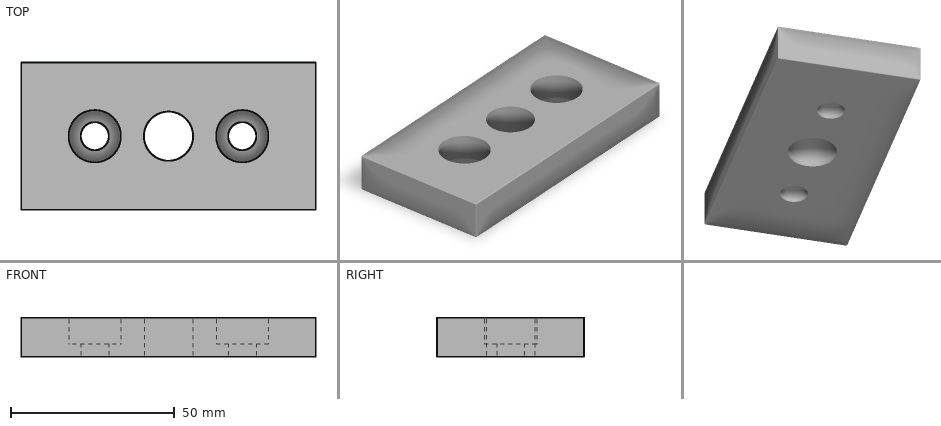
import cadquery as cq

length = 90.0
width = 45.0
thickness = 12.0
edge_radius = 0.3

centre_hole_diameter = 14.95
screw_hole_diameter = 8.5
counterbore_diameter = 16.0
counterbore_depth = 8.0
screw_offset = length / 4


def make_block():
    """Plate standing on Z = 0, centred in X and Y, with every outer edge rounded."""
    block = cq.Workplane("XY").box(length, width, thickness, centered=(True, True, False))
    return block.edges().fillet(edge_radius)


def drill_centre_hole(body):
    """Plain through hole in the middle of the plate."""
    return body.faces(">Z").workplane(origin=(0, 0, 0)).hole(centre_hole_diameter)


def drill_screw_holes(body):
    """Counterbored through holes on both sides of the centre hole."""
    return (
        body.faces(">Z")
        .workplane(origin=(0, 0, 0))
        .pushPoints([(-screw_offset, 0), (screw_offset, 0)])
        .cboreHole(screw_hole_diameter, counterbore_diameter, counterbore_depth)
    )


result = drill_screw_holes(drill_centre_hole(make_block()))